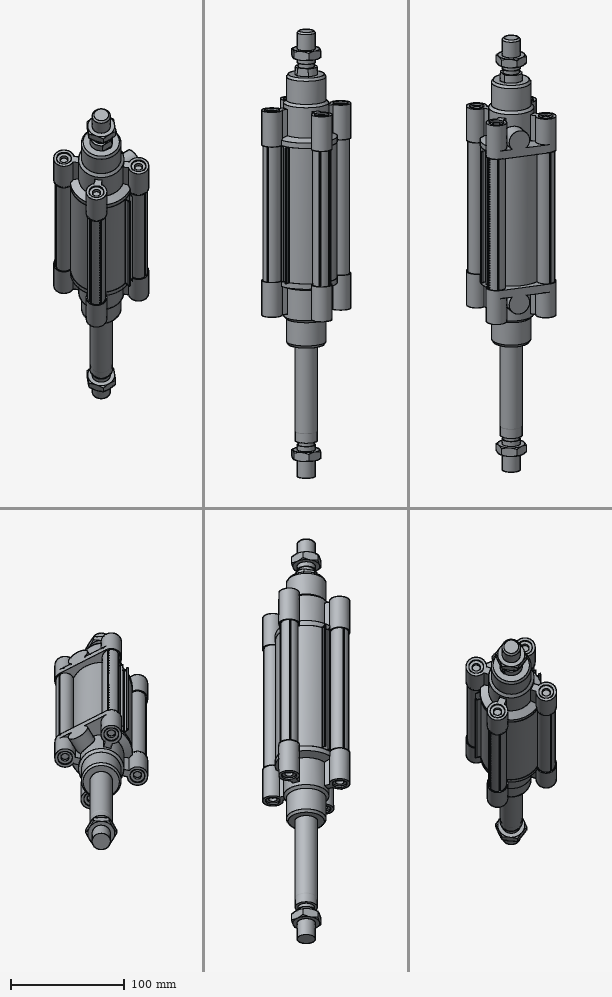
import cadquery as cq
import math


ROD_TOP = 161.5
ROD_BOTTOM = -242.5
ROD_DIA = 20.0
TOP_SHOULDER_DIA = 19.5
BOTTOM_SHOULDER_DIA = 19.8
THREAD_DIA = 16.0
UNDERCUT_DIA = 14.5
THREAD_LENGTH = 28.5
THREADED_END_LENGTH = 32.5
THREAD_CHAMFER = 1.5
TOP_SHOULDER_TAPER = 7.0
BOTTOM_SHOULDER_LENGTH = 8.0
BOTTOM_SHOULDER_TAPER = 1.0
WRENCH_FLAT_WIDTH = 17.0
WRENCH_FLAT_LENGTH = 8.5

NUT_ACROSS_FLATS = 24.0
NUT_THICKNESS = 8.0
NUT_SETBACK = 16.0
NUT_CHAMFER_HEIGHT = 1.2

BARREL_LENGTH = 123.0
BARREL_DIA = 54.5
BORE_DIA = 50.0
OUTER_WIDTH = 65.0
BOSS_DIA = 18.0
CORNER_OFFSET = (OUTER_WIDTH - BOSS_DIA) / 2
COLUMN_DIA = 16.0
SLIT_WIDTH = 1.2
SLIT_DEPTH = 1.2
SLIT_OFFSET = 1.2

LOWER_RAIL_ROOT_X = 25.5
LOWER_RAIL_TIP_X = 31.5
LOWER_RAIL_Y = 5.5
LOWER_RAIL_WALL = 1.0
LOWER_RAIL_RISE = 1.2
LOWER_RAIL_LIP_WIDTH = 1.5
LOWER_RAIL_LIP_HEIGHT = 1.2
UPPER_RAIL_ROOT_X = 22.2
UPPER_RAIL_TIP_X = 29.0
UPPER_RAIL_Y = 12.5
UPPER_RAIL_ROOT_WALL = 1.5

FLANGE_DIA = 55.0
FLANGE_RIM_HEIGHT = 5.0
FLANGE_NECK_HEIGHT = 7.5
BOSS_HEIGHT = 31.5
NECK_DIA = 40.0
NECK_HEIGHT = 37.5
COLLAR_DIA = 35.0
NECK_CHAMFER = (NECK_DIA - COLLAR_DIA) / 2
CAP_HEIGHT = 61.0
COLLAR_CHAMFER_HEIGHT = 2.5
COLLAR_CHAMFER_DEPTH = 1.5
WEB_WIDTH = 6.5

SCREW_RECESS_DIA = 13.0
SCREW_RECESS_DEPTH = 1.5
SOCKET_DIA = 7.3
SOCKET_DEPTH = 3.2

PORT_DIA = 19.5
PORT_X = 5.3
PORT_HEIGHT = 14.5
PAD_WIDTH = 2 * CORNER_OFFSET
PAD_START_Y = 17.0

CORNERS = [(sx * CORNER_OFFSET, sy * CORNER_OFFSET) for sx in (-1, 1) for sy in (-1, 1)]


def cylinder(dia, z_start, z_end):
    return cq.Workplane("XY", origin=(0, 0, z_start)).circle(dia / 2).extrude(z_end - z_start)


def block(x_range, y_range, z_range):
    size = [end - start for start, end in (x_range, y_range, z_range)]
    corner = (x_range[0], y_range[0], z_range[0])
    return cq.Workplane("XY").box(*size, centered=False).translate(corner)


def make_rod():
    top_shoulder = ROD_TOP - THREADED_END_LENGTH
    bottom_shoulder = ROD_BOTTOM + THREADED_END_LENGTH
    rod_start = bottom_shoulder + BOTTOM_SHOULDER_LENGTH
    rod = cylinder(ROD_DIA, rod_start, top_shoulder)
    rod = rod.faces(">Z").chamfer(TOP_SHOULDER_TAPER, (ROD_DIA - TOP_SHOULDER_DIA) / 2)
    rod = rod.faces("<Z").chamfer(BOTTOM_SHOULDER_TAPER, (ROD_DIA - BOTTOM_SHOULDER_DIA) / 2)
    rod = rod.union(cylinder(BOTTOM_SHOULDER_DIA, bottom_shoulder, rod_start))
    rod = rod.union(cylinder(UNDERCUT_DIA, ROD_BOTTOM, ROD_TOP))

    top_thread = cylinder(THREAD_DIA, ROD_TOP - THREAD_LENGTH, ROD_TOP)
    bottom_thread = cylinder(THREAD_DIA, ROD_BOTTOM, ROD_BOTTOM + THREAD_LENGTH)
    rod = rod.union(top_thread).union(bottom_thread)
    rod = rod.faces(">Z").chamfer(THREAD_CHAMFER)

    for side in (-1, 1):
        inner, outer = side * WRENCH_FLAT_WIDTH / 2, side * ROD_DIA
        flat = block(
            (min(inner, outer), max(inner, outer)),
            (-ROD_DIA, ROD_DIA),
            (top_shoulder - WRENCH_FLAT_LENGTH, top_shoulder),
        )
        rod = rod.cut(flat)
    return rod


def make_nut(z_bottom):
    corner_dia = NUT_ACROSS_FLATS / math.cos(math.pi / 6)
    plane = cq.Workplane("XY", origin=(0, 0, z_bottom))
    hexagon = plane.transformed(rotate=(0, 0, 30)).polygon(6, corner_dia).extrude(NUT_THICKNESS)
    rounding = cylinder(corner_dia, z_bottom, z_bottom + NUT_THICKNESS)
    chamfer_depth = (corner_dia - NUT_ACROSS_FLATS) / 2
    for end in (">Z", "<Z"):
        rounding = rounding.faces(end).chamfer(NUT_CHAMFER_HEIGHT, chamfer_depth)
    return hexagon.intersect(rounding).cut(cylinder(THREAD_DIA, z_bottom, z_bottom + NUT_THICKNESS))


def make_barrel():
    half = BARREL_LENGTH / 2
    z_range = (-half, half)
    barrel = cylinder(BARREL_DIA, *z_range)
    for x, y in CORNERS:
        barrel = barrel.union(cylinder(COLUMN_DIA, *z_range).translate((x, y, 0)))

    slit_place = CORNER_OFFSET + SLIT_OFFSET
    slit_floor = CORNER_OFFSET + COLUMN_DIA / 2 - SLIT_DEPTH
    slit_range = (slit_place - SLIT_WIDTH / 2, slit_place + SLIT_WIDTH / 2)
    outer_range = (slit_floor, OUTER_WIDTH)
    slits = block(slit_range, outer_range, z_range).union(block(outer_range, slit_range, z_range))
    for turn in range(4):
        barrel = barrel.cut(slits.rotate((0, 0, 0), (0, 0, 1), 90 * turn))

    lip_y = LOWER_RAIL_Y + LOWER_RAIL_RISE
    lip_x = LOWER_RAIL_TIP_X - LOWER_RAIL_LIP_WIDTH
    lower_rail = [
        (LOWER_RAIL_ROOT_X, LOWER_RAIL_Y),
        (LOWER_RAIL_TIP_X, lip_y),
        (LOWER_RAIL_TIP_X, lip_y + LOWER_RAIL_LIP_HEIGHT),
        (lip_x, lip_y + LOWER_RAIL_LIP_HEIGHT),
        (lip_x, lip_y),
        (LOWER_RAIL_ROOT_X, LOWER_RAIL_Y + LOWER_RAIL_WALL),
    ]
    upper_rail = [
        (UPPER_RAIL_ROOT_X, UPPER_RAIL_Y),
        (UPPER_RAIL_TIP_X, UPPER_RAIL_Y),
        (UPPER_RAIL_ROOT_X, UPPER_RAIL_Y + UPPER_RAIL_ROOT_WALL),
    ]
    for outline in (lower_rail, upper_rail):
        rail = cq.Workplane("XY", origin=(0, 0, -half)).polyline(outline).close().extrude(BARREL_LENGTH)
        barrel = barrel.union(rail).union(rail.mirror("YZ"))
    return barrel.cut(cylinder(BORE_DIA, *z_range))


def make_cap():
    """End cap standing on the +Z end of the barrel."""
    neck = cylinder(NECK_DIA, 0, NECK_HEIGHT).faces(">Z").chamfer(NECK_CHAMFER)
    collar = cylinder(COLLAR_DIA, 0, CAP_HEIGHT)
    collar = collar.faces(">Z").chamfer(COLLAR_CHAMFER_HEIGHT, COLLAR_CHAMFER_DEPTH)
    cap = neck.union(collar)

    for angle in (45, 135):
        web = cq.Workplane("XY").rect(2 * CORNER_OFFSET * math.sqrt(2), WEB_WIDTH).extrude(BOSS_HEIGHT)
        cap = cap.union(web.rotate((0, 0, 0), (0, 0, 1), angle))

    flange = cylinder(FLANGE_DIA, 0, FLANGE_NECK_HEIGHT).faces(">Z").chamfer(
        FLANGE_NECK_HEIGHT - FLANGE_RIM_HEIGHT, (FLANGE_DIA - NECK_DIA) / 2
    )
    pad = block((-PAD_WIDTH / 2, PAD_WIDTH / 2), (PAD_START_Y, OUTER_WIDTH / 2), (0, FLANGE_NECK_HEIGHT))
    port = cq.Workplane("XZ").center(PORT_X, PORT_HEIGHT).circle(PORT_DIA / 2).extrude(-OUTER_WIDTH / 2)
    cap = cap.union(flange).union(pad).union(port)

    for x, y in CORNERS:
        cap = cap.union(cylinder(BOSS_DIA, 0, BOSS_HEIGHT).translate((x, y, 0)))
    recess_floor = BOSS_HEIGHT - SCREW_RECESS_DEPTH
    recess = cylinder(SCREW_RECESS_DIA, recess_floor, BOSS_HEIGHT)
    recess = recess.union(cylinder(SOCKET_DIA, recess_floor - SOCKET_DEPTH, recess_floor))
    for x, y in CORNERS:
        cap = cap.cut(recess.translate((x, y, 0)))

    cap = cap.cut(cylinder(ROD_DIA, 0, CAP_HEIGHT))
    return cap.translate((0, 0, BARREL_LENGTH / 2))


rod = make_rod()
top_nut = make_nut(ROD_TOP - NUT_SETBACK - NUT_THICKNESS)
bottom_nut = make_nut(ROD_BOTTOM + NUT_SETBACK)
barrel = make_barrel()
top_cap = make_cap()
bottom_cap = top_cap.mirror("XY")

result = cq.Compound.makeCompound(
    [rod.val(), top_nut.val(), bottom_nut.val(), barrel.val(), top_cap.val(), bottom_cap.val()]
)